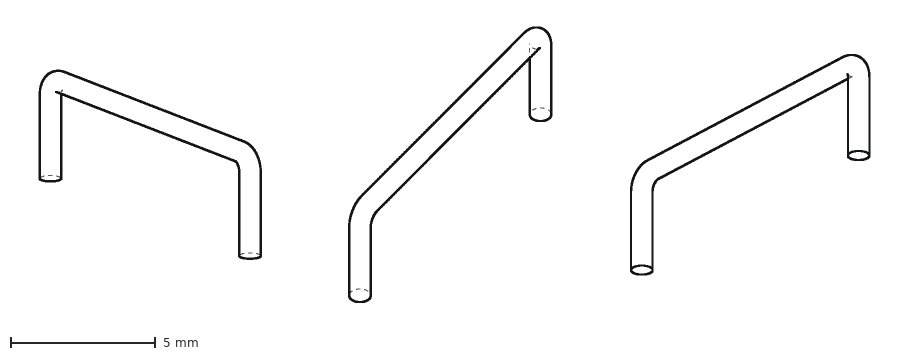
import cadquery as cq
import math

wire_diameter = 0.75
leg_spacing = 12.0
leg_length = 3.0
bend_radius = 0.6

leg_x = leg_spacing / 2
straight_x = leg_x - bend_radius
crossbar_z = leg_length + bend_radius
bend_mid_offset = bend_radius * math.cos(math.pi / 4)
bend_mid_x = straight_x + bend_mid_offset
bend_mid_z = leg_length + bend_mid_offset


def wire_centreline():
    """U-shaped path in the XZ plane: leg, bend, crossbar, bend, leg."""
    return (
        cq.Workplane("XZ")
        .moveTo(-leg_x, 0)
        .lineTo(-leg_x, leg_length)
        .threePointArc((-bend_mid_x, bend_mid_z), (-straight_x, crossbar_z))
        .lineTo(straight_x, crossbar_z)
        .threePointArc((bend_mid_x, bend_mid_z), (leg_x, leg_length))
        .lineTo(leg_x, 0)
    )


def jumper_wire():
    """Round wire swept along the centreline from the end of the -X leg."""
    section = cq.Workplane("XY").center(-leg_x, 0).circle(wire_diameter / 2)
    return section.sweep(wire_centreline())


result = jumper_wire()